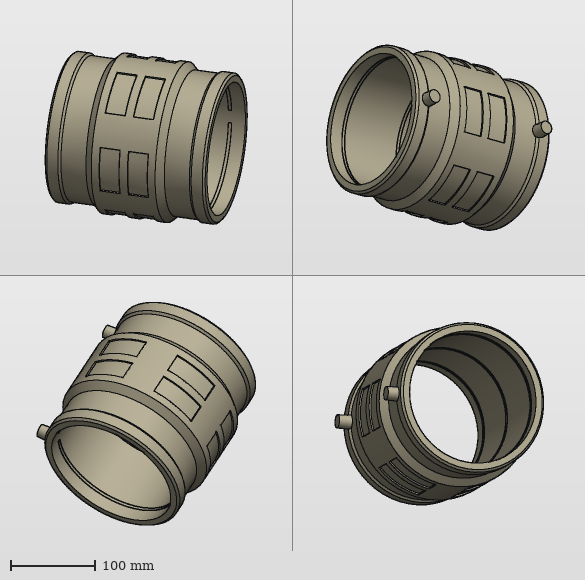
import cadquery as cq

LENGTH = 198.0
HALF_LENGTH = LENGTH / 2

HUB_DIAMETER = 193.0
COLLAR_DIAMETER = 181.42
BODY_DIAMETER = 175.98
HUB_RADIUS = HUB_DIAMETER / 2
COLLAR_RADIUS = COLLAR_DIAMETER / 2
BODY_RADIUS = BODY_DIAMETER / 2

BORE_DIAMETER = 160.0
STOP_DIAMETER = 158.4
BORE_RADIUS = BORE_DIAMETER / 2
STOP_RADIUS = STOP_DIAMETER / 2
STOP_LENGTH = 4.0
GROOVE_DEPTH = BORE_RADIUS - STOP_RADIUS
GROOVE_LENGTH = 4.0
GROOVE_INSET = 17.0
GROOVE_GAP_WIDTH = 17.0
BORE_OVERLAP = 1.0

END_CHAMFER = COLLAR_RADIUS - BODY_RADIUS
COLLAR_FLAT_END = 16.5
COLLAR_TAPER_LENGTH = 3.0
HUB_HALF_LENGTH = 39.5
HUB_CHAMFER_LENGTH = 9.0

POCKETS_PER_RING = 6
POCKET_ANGLE = 35.0
POCKET_DEPTH = 2.0
POCKET_LENGTH = 24.5
POCKET_RING_GAP = 10.5

TERMINAL_TIP_Y = 104.0
TERMINAL_TIP_DIAMETER = 15.8
TERMINAL_BASE_DIAMETER = 17.6
TERMINAL_BASE_Y = 84.0
TERMINAL_SPACING = 166.0


def make_sleeve():
    """Plain bored sleeve, revolved from a section that mirrors its +X half."""
    collar_inner_x = HALF_LENGTH - COLLAR_FLAT_END
    right = [
        (HUB_HALF_LENGTH, HUB_RADIUS),
        (HUB_HALF_LENGTH + HUB_CHAMFER_LENGTH, BODY_RADIUS),
        (collar_inner_x - COLLAR_TAPER_LENGTH, BODY_RADIUS),
        (collar_inner_x, COLLAR_RADIUS),
        (HALF_LENGTH - END_CHAMFER, COLLAR_RADIUS),
        (HALF_LENGTH, BODY_RADIUS),
        (HALF_LENGTH, BORE_RADIUS),
    ]
    left = [(-x, radius) for x, radius in reversed(right)]
    return cq.Workplane("XY").polyline(right + left).close().revolve(360, (0, 0, 0), (1, 0, 0))


def revolve_band(length, inner_radius, outer_radius, angle=360):
    """Revolve a rectangular band, centred on x = 0, about the X axis, starting at +Y."""
    outline = [
        (-length / 2, inner_radius),
        (length / 2, inner_radius),
        (length / 2, outer_radius),
        (-length / 2, outer_radius),
    ]
    return cq.Workplane("XY").polyline(outline).close().revolve(angle, (0, 0, 0), (1, 0, 0))


def make_centre_stop():
    """Low inner ring, sunk slightly into the wall so that it fuses with the sleeve."""
    return revolve_band(STOP_LENGTH, STOP_RADIUS, BORE_RADIUS + BORE_OVERLAP)


def make_groove_cutter():
    """Shallow bore groove interrupted on the +Y side, in line with the terminals."""
    band = revolve_band(GROOVE_LENGTH, BORE_RADIUS - BORE_OVERLAP, BORE_RADIUS + GROOVE_DEPTH)
    gap = cq.Workplane("XY").box(GROOVE_LENGTH, BORE_DIAMETER, GROOVE_GAP_WIDTH)
    return band.cut(gap.translate((0, BORE_RADIUS, 0)))


def make_pocket_cutter(centre_x, centre_angle):
    """Ring sector that sinks one curved pocket into the hub."""
    floor_radius = HUB_RADIUS - POCKET_DEPTH
    clear_radius = HUB_RADIUS + POCKET_DEPTH
    sector = revolve_band(POCKET_LENGTH, floor_radius, clear_radius, POCKET_ANGLE)
    centred = sector.rotate((0, 0, 0), (1, 0, 0), centre_angle - POCKET_ANGLE / 2)
    return centred.translate((centre_x, 0, 0))


def make_terminal(x):
    """Tapered round post standing radially along +Y."""
    outline = [
        (0, TERMINAL_BASE_Y),
        (TERMINAL_BASE_DIAMETER / 2, TERMINAL_BASE_Y),
        (TERMINAL_TIP_DIAMETER / 2, TERMINAL_TIP_Y),
        (0, TERMINAL_TIP_Y),
    ]
    post = cq.Workplane("XY").polyline(outline).close().revolve(360, (0, 0, 0), (0, 1, 0))
    return post.translate((x, 0, 0))


result = make_sleeve().union(make_centre_stop())

groove_x = HALF_LENGTH - GROOVE_INSET - GROOVE_LENGTH / 2
pocket_ring_x = (POCKET_RING_GAP + POCKET_LENGTH) / 2
pocket_pitch = 360 / POCKETS_PER_RING

for side in (-1, 1):
    result = result.union(make_terminal(side * TERMINAL_SPACING / 2))
    result = result.cut(make_groove_cutter().translate((side * groove_x, 0, 0)))
    for index in range(POCKETS_PER_RING):
        result = result.cut(make_pocket_cutter(side * pocket_ring_x, index * pocket_pitch))